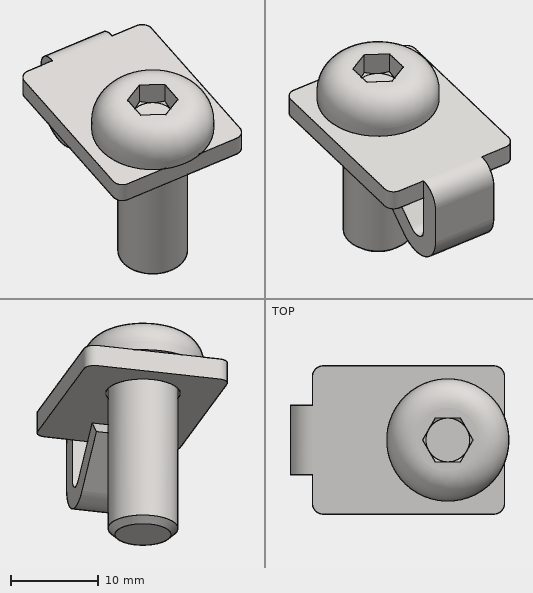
import cadquery as cq
import math


sheet = 2.5
plate_length = 22.0
plate_width = 17.0
plate_corner_radius = 1.25
screw_to_plate_edge = 15.5
clearance_diameter = 8.5

hook_width = 8.0
hook_bend_drop = 7.35
hook_inner_radius = 1.5
hook_outer_radius = hook_inner_radius + sheet
leg_angle = math.radians(39.3)
leg_inner_length = 7.55
leg_outer_length = 7.8

shank_diameter = 8.0
shank_length = 20.0
shank_chamfer_height = 0.75
shank_chamfer_width = 0.8
head_diameter = 14.0
head_height = 4.4
head_round_radius = 3.35
socket_across_flats = 5.0
socket_wall_depth = 2.6
socket_cone_angle = math.radians(30)


def make_plate():
    """Flat plate with rounded corners and a clearance hole for the screw."""
    plate_center_x = plate_length / 2 - screw_to_plate_edge
    plate = (
        cq.Workplane("XY", origin=(plate_center_x, 0, -sheet))
        .rect(plate_length, plate_width)
        .extrude(sheet)
        .edges("|Z")
        .fillet(plate_corner_radius)
    )
    hole = cq.Workplane("XY").circle(clearance_diameter / 2).extrude(-sheet)
    return plate.cut(hole)


def make_hook():
    """Strip that bends down from the plate edge, then back up under the plate."""
    inner_x = -screw_to_plate_edge
    outer_x = inner_x - sheet
    bend_x = inner_x + hook_inner_radius
    bend_z = -hook_bend_drop
    leg_turn = leg_angle - math.pi / 2
    bend_middle = (leg_turn - math.pi) / 2
    upper_bend_middle = math.radians(135)

    def on_bend(radius, angle):
        return (bend_x + radius * math.cos(angle), bend_z + radius * math.sin(angle))

    def along_leg(start, length):
        return (start[0] + length * math.cos(leg_angle), start[1] + length * math.sin(leg_angle))

    outer_leg_start = on_bend(hook_outer_radius, leg_turn)
    inner_leg_start = on_bend(hook_inner_radius, leg_turn)
    upper_middle = (
        inner_x + sheet * math.cos(upper_bend_middle),
        -sheet + sheet * math.sin(upper_bend_middle),
    )
    return (
        cq.Workplane("XZ")
        .moveTo(inner_x, 0)
        .threePointArc(upper_middle, (outer_x, -sheet))
        .lineTo(outer_x, bend_z)
        .threePointArc(on_bend(hook_outer_radius, bend_middle), outer_leg_start)
        .lineTo(*along_leg(outer_leg_start, leg_outer_length))
        .lineTo(*along_leg(inner_leg_start, leg_inner_length))
        .lineTo(*inner_leg_start)
        .threePointArc(on_bend(hook_inner_radius, bend_middle), (inner_x, bend_z))
        .close()
        .extrude(hook_width / 2, both=True)
    )


def make_clip():
    """Plate and hook bent from one piece of sheet."""
    return make_plate().union(make_hook())


def make_socket():
    """Hexagonal socket whose corners slope down to a round flat floor."""
    corner_radius = socket_across_flats / 2 / math.cos(math.radians(30))
    floor_radius = socket_across_flats / 2
    cone_height = (corner_radius - floor_radius) * math.tan(socket_cone_angle)
    wall_bottom = head_height - socket_wall_depth
    floor_z = wall_bottom - cone_height
    hexagon = (
        cq.Workplane("XY", origin=(0, 0, floor_z))
        .polygon(6, 2 * corner_radius)
        .extrude(head_height - floor_z)
    )
    envelope = (
        cq.Workplane("XZ")
        .moveTo(0, floor_z)
        .lineTo(floor_radius, floor_z)
        .lineTo(corner_radius, wall_bottom)
        .lineTo(corner_radius, head_height)
        .lineTo(0, head_height)
        .close()
        .revolve(360, (0, 0), (0, 1))
    )
    return hexagon.intersect(envelope)


def make_screw():
    """Button-head screw with a chamfered shank end."""
    shank_radius = shank_diameter / 2
    head_radius = head_diameter / 2
    head_top_radius = head_radius - head_round_radius
    rim_height = head_height - head_round_radius
    round_offset = head_round_radius * math.sin(math.radians(45))
    round_middle = (head_top_radius + round_offset, rim_height + round_offset)
    body = (
        cq.Workplane("XZ")
        .moveTo(0, -shank_length)
        .lineTo(shank_radius - shank_chamfer_width, -shank_length)
        .lineTo(shank_radius, -shank_length + shank_chamfer_height)
        .lineTo(shank_radius, 0)
        .lineTo(head_radius, 0)
        .lineTo(head_radius, rim_height)
        .threePointArc(round_middle, (head_top_radius, head_height))
        .lineTo(0, head_height)
        .close()
        .revolve(360, (0, 0), (0, 1))
    )
    return body.cut(make_socket())


clip = make_clip()
screw = make_screw()
result = cq.Compound.makeCompound([*clip.solids().vals(), *screw.solids().vals()])